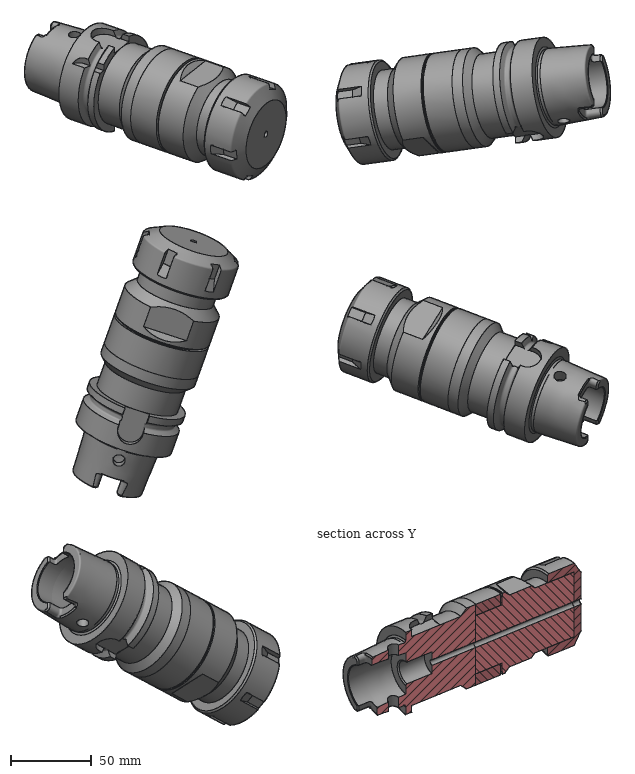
import cadquery as cq
import math


bore_radius = 1.9

taper_length = 32.0
taper_end_radius = 22.7
taper_slope = 1 / 20
mouth_fillet = 1.05
relief_start = -2.6
relief_bottom_start = -1.6
relief_bottom_end = -0.6
relief_radius = 23.9
relief_face_radius = 25.4

hollow_mouth_radius = 17.2
hollow_radius = 16.7
hollow_mouth_chamfer = hollow_mouth_radius - hollow_radius
hollow_straight_length = 12.5
hollow_floor_radius = 15.5
hollow_floor = 0.0
socket_mouth_radius = 9.0
socket_radius = 8.1
socket_chamfer = socket_mouth_radius - socket_radius
socket_depth = 20.0

cross_hole_x = -9.2
cross_hole_radius = 3.75

key_slot_half_width = 6.2
key_slot_upper_depth = 6.2
key_slot_lower_depth = 10.2
key_slot_round_start = 18.1
key_slot_round_radius = 2.6
key_slot_shoulder_y = key_slot_half_width + key_slot_round_radius
key_slot_floor_fillet = 1.5
key_slot_mouth_bevel = 1.0
key_slot_bevel_length = 0.6
key_slot_bevel_height = 1.2

flange_radius = 31.5
flange_width = 26.0
groove_left_rim = 14.4
groove_left = 16.25
groove_right = 19.5
groove_right_rim = 21.5
groove_radius = 27.5
groove_corner_fillet = 1.1

flange_slot_start = 4.7
flange_slot_half_width = 8.0
flange_slot_floor = 26.5
notch_wall_y = -20.2
notch_floor_z = 20.0
notch_cutter_radius = 7.3

neck_radius = 26.5
barrel_radius = 31.0
barrel_cone_start = 41.75
barrel_cone_end = barrel_cone_start + (barrel_radius - neck_radius)
shank_end = 53.2

sleeve_end = 72.3
spigot_radius = 22.0

ring_radius = 28.7
ring_width = 1.0

spindle_start = sleeve_end + ring_width
spindle_edge_chamfer = 0.5
spindle_cone_start = 92.3
collar_radius = 25.0
spindle_cone_end = spindle_cone_start + (barrel_radius - collar_radius)
flat_height = 27.6
flat_ramp_bottom = 78.9

nut_start = 107.6
nut_end = 133.5
nut_radius = 31.5
nut_face_radius = 22.4
nut_face_angle = 60.0
nut_rear_chamfer = 1.1
nut_front_fillet = 1.3
nut_cone_start = nut_end - (nut_radius - nut_face_radius) / math.tan(math.radians(nut_face_angle))
nut_slot_count = 6
nut_slot_turn = 3.3
nut_slot_width = 6.5
nut_slot_floor_radius = 28.0
nut_slot_ramp_start = 113.0
nut_slot_ramp_end = 120.5

clearance = 5.0


def turned(points):
    """Solid of revolution about X from (x, radius) points that start and end on the axis."""
    return cq.Workplane("XY").polyline(points).close().revolve(360, (0, 0, 0), (1, 0, 0))


def cylinder_x(start, end, radius):
    """Cylinder along the X axis."""
    return cq.Workplane("YZ", origin=(start, 0, 0)).circle(radius).extrude(end - start)


def taper_radius(x):
    return taper_end_radius + (x + taper_length) * taper_slope


def shank_blank():
    blank = turned([
        (-taper_length, 0),
        (-taper_length, taper_end_radius),
        (relief_start, taper_radius(relief_start)),
        (relief_bottom_start, relief_radius),
        (relief_bottom_end, relief_radius),
        (0, relief_face_radius),
        (0, flange_radius),
        (groove_left_rim, flange_radius),
        (groove_left, groove_radius),
        (groove_right, groove_radius),
        (groove_right_rim, flange_radius),
        (flange_width, flange_radius),
        (flange_width, neck_radius),
        (barrel_cone_start, neck_radius),
        (barrel_cone_end, barrel_radius),
        (shank_end, barrel_radius),
        (shank_end, 0),
    ])
    groove_corners = cq.selectors.BoxSelector(
        (groove_left_rim, -groove_radius - clearance / 10, -groove_radius - clearance / 10),
        (groove_right_rim, groove_radius + clearance / 10, groove_radius + clearance / 10),
        boundingbox=True,
    )
    blank = blank.edges(groove_corners).edges("%CIRCLE").fillet(groove_corner_fillet)
    return blank.faces("<X").edges().fillet(mouth_fillet)


def shank_hollow():
    """Stepped hollow in the taper, with the central socket and the through bore."""
    straight_end = -taper_length + hollow_straight_length
    socket_floor = hollow_floor + socket_depth
    return turned([
        (-taper_length, 0),
        (-taper_length, hollow_mouth_radius),
        (-taper_length + hollow_mouth_chamfer, hollow_radius),
        (straight_end, hollow_radius),
        (hollow_floor, hollow_floor_radius),
        (hollow_floor, socket_mouth_radius),
        (hollow_floor + socket_chamfer, socket_radius),
        (socket_floor, socket_radius),
        (socket_floor, bore_radius),
        (shank_end, bore_radius),
        (shank_end, 0),
    ])


def key_slot_profile(plane, widening=0.0):
    """Section of the upper key slot: straight walls that round outward near the taper surface."""
    half_width = key_slot_half_width + widening
    round_radius = key_slot_round_radius - widening
    shoulder_z = key_slot_round_start + round_radius
    arc_offset = round_radius * math.sin(math.radians(45))
    arc_y = key_slot_shoulder_y - arc_offset
    arc_z = key_slot_round_start + arc_offset
    outer_y = key_slot_shoulder_y + clearance
    outer_z = taper_end_radius + clearance
    return (
        plane.moveTo(-half_width, 0)
        .lineTo(half_width, 0)
        .lineTo(half_width, key_slot_round_start)
        .threePointArc((arc_y, arc_z), (key_slot_shoulder_y, shoulder_z))
        .lineTo(outer_y, shoulder_z)
        .lineTo(outer_y, outer_z)
        .lineTo(-outer_y, outer_z)
        .lineTo(-outer_y, shoulder_z)
        .lineTo(-key_slot_shoulder_y, shoulder_z)
        .threePointArc((-arc_y, arc_z), (-half_width, key_slot_round_start))
        .close()
    )


def key_slot(depth):
    """Cutter for the upper key slot, with filleted floor corners and a beveled mouth."""
    mouth = cq.Workplane("YZ", origin=(-taper_length, 0, 0))
    slot = key_slot_profile(mouth).extrude(depth)
    above_axis_below_rim = cq.selectors.BoxSelector(
        (-taper_length, -flange_radius, clearance),
        (0, flange_radius, taper_end_radius),
    )
    slot = slot.faces(">X").edges(above_axis_below_rim).fillet(key_slot_floor_fillet)
    bevel = key_slot_profile(mouth, key_slot_mouth_bevel)
    bevel = key_slot_profile(bevel.workplane(offset=key_slot_mouth_bevel)).loft(ruled=True)
    return slot.union(bevel)


def key_slot_bevel(depth):
    """Cutter that bevels the outer edge of the upper key slot's floor."""
    floor_x = depth - taper_length
    surface = taper_radius(floor_x)
    ring = (
        cq.Workplane("XY")
        .polyline([
            (floor_x, surface - key_slot_bevel_height),
            (floor_x + key_slot_bevel_length, surface + key_slot_bevel_length * taper_slope),
            (floor_x, surface + clearance),
        ])
        .close()
        .revolve(360, (0, 0, 0), (1, 0, 0))
    )
    half_width = key_slot_shoulder_y - key_slot_floor_fillet
    window = (
        cq.Workplane("XY", origin=(floor_x, 0, 0))
        .rect(clearance, 2 * half_width)
        .extrude(flange_radius)
    )
    return ring.intersect(window)


def flange_slot():
    """Cutter for the round-ended flat slot on the +Z side of the flange."""
    center_x = flange_slot_start + flange_slot_half_width
    length = flange_width - center_x
    depth = flange_radius - flange_slot_floor + clearance
    base = cq.Workplane("XY", origin=(0, 0, flange_slot_floor))
    round_end = base.center(center_x, 0).circle(flange_slot_half_width).extrude(depth)
    channel = (
        base.center(center_x + length / 2, 0)
        .rect(length, 2 * flange_slot_half_width)
        .extrude(depth)
    )
    return round_end.union(channel)


def corner_notch():
    """Cutter for the L-shaped notch between the -Y and +Z sides of the flange."""
    center_x = flange_slot_start + notch_cutter_radius
    center_y = notch_wall_y - notch_cutter_radius
    length = flange_width - center_x
    base = cq.Workplane("XY", origin=(0, 0, notch_floor_z))
    round_end = base.center(center_x, center_y).circle(notch_cutter_radius).extrude(flange_radius)
    channel = (
        base.center(center_x + length / 2, center_y)
        .rect(length, 2 * notch_cutter_radius)
        .extrude(flange_radius)
    )
    return round_end.union(channel)


def make_shank():
    half_turn = ((0, 0, 0), (1, 0, 0), 180)
    cross_hole = (
        cq.Workplane("XY", origin=(cross_hole_x, 0, 0))
        .circle(cross_hole_radius)
        .extrude(flange_radius, both=True)
    )
    return (
        shank_blank()
        .cut(shank_hollow())
        .cut(key_slot(key_slot_upper_depth))
        .cut(key_slot(key_slot_lower_depth).rotate(*half_turn))
        .cut(key_slot_bevel(key_slot_upper_depth))
        .cut(key_slot_bevel(key_slot_lower_depth).rotate(*half_turn))
        .cut(cross_hole)
        .cut(flange_slot())
        .cut(flange_slot().rotate(*half_turn))
        .cut(corner_notch())
    )


def make_sleeve():
    spigot_hole = cylinder_x(shank_end, sleeve_end, spigot_radius)
    return cylinder_x(shank_end, sleeve_end, barrel_radius).cut(spigot_hole)


def make_ring():
    spigot_hole = cylinder_x(sleeve_end, spindle_start, spigot_radius)
    return cylinder_x(sleeve_end, spindle_start, ring_radius).cut(spigot_hole)


def wrench_flat():
    """Cutter for the +Z wrench flat, with a 45 degree ramp at its rear end."""
    rise = barrel_radius - flat_height + clearance
    return (
        cq.Workplane("XZ")
        .polyline([
            (flat_ramp_bottom, flat_height),
            (flat_ramp_bottom - rise, flat_height + rise),
            (spindle_cone_end, flat_height + rise),
            (spindle_cone_end, flat_height),
        ])
        .close()
        .extrude(barrel_radius, both=True)
    )


def make_spindle():
    spindle = turned([
        (shank_end, 0),
        (shank_end, spigot_radius),
        (spindle_start, spigot_radius),
        (spindle_start, barrel_radius - spindle_edge_chamfer),
        (spindle_start + spindle_edge_chamfer, barrel_radius),
        (spindle_cone_start, barrel_radius),
        (spindle_cone_end, collar_radius),
        (nut_cone_start, collar_radius),
        (nut_cone_start, 0),
    ])
    return (
        spindle.cut(cylinder_x(shank_end, nut_end, bore_radius))
        .cut(wrench_flat())
        .cut(wrench_flat().mirror("XY"))
    )


def nut_slot():
    """Cutter for the spanner slot on the -Y side of the nut, with a ramped rear end."""
    outer = nut_radius + clearance
    return (
        cq.Workplane("XY")
        .polyline([
            (nut_slot_ramp_start, -nut_radius),
            (nut_slot_ramp_end, -nut_slot_floor_radius),
            (nut_end, -nut_slot_floor_radius),
            (nut_end, -outer),
            (nut_slot_ramp_start, -outer),
        ])
        .close()
        .extrude(nut_slot_width / 2, both=True)
    )


def make_nut():
    blank = turned([
        (nut_start, 0),
        (nut_start, nut_radius - nut_rear_chamfer),
        (nut_start + nut_rear_chamfer, nut_radius),
        (nut_cone_start, nut_radius),
        (nut_end, nut_face_radius),
        (nut_end, 0),
    ])
    front_rim = cq.selectors.BoxSelector(
        (nut_cone_start - clearance / 10, -nut_radius * 2, -nut_radius * 2),
        (nut_cone_start + clearance / 10, nut_radius * 2, nut_radius * 2),
    )
    nut = blank.edges(front_rim).edges("%CIRCLE").fillet(nut_front_fillet)
    nut = nut.cut(cylinder_x(nut_start, nut_cone_start, collar_radius))
    nut = nut.cut(cylinder_x(nut_start, nut_end, bore_radius))
    for index in range(nut_slot_count):
        angle = nut_slot_turn + index * 360 / nut_slot_count
        nut = nut.cut(nut_slot().rotate((0, 0, 0), (1, 0, 0), angle))
    return nut


shank = make_shank()
sleeve = make_sleeve()
ring = make_ring()
spindle = make_spindle()
nut = make_nut()

result = cq.Compound.makeCompound([
    shank.val(),
    sleeve.val(),
    ring.val(),
    spindle.val(),
    nut.val(),
])